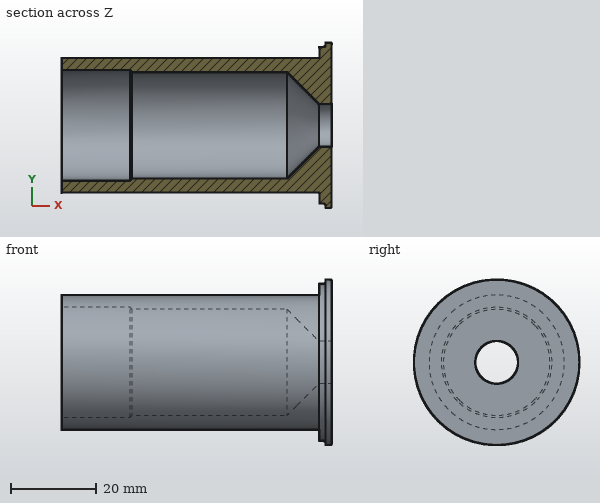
import cadquery as cq

total_length = 63.5
tube_diameter = 31.75
collar_diameter = 37.0
collar_width = 1.5
flange_diameter = 39.0
flange_width = 1.5

small_edge_radius = 0.2
end_edge_radius = 0.4
root_radius = 0.4

bore_diameter = 26.0
bore_depth = 16.0
seat_diameter = 25.0
outlet_diameter = 10.0

match_tolerance = 1e-4

flange_start = total_length - flange_width
collar_start = flange_start - collar_width
bore_taper_end = bore_depth + (bore_diameter - seat_diameter) / 2
funnel_end = collar_start
funnel_start = funnel_end - (seat_diameter - outlet_diameter) / 2


def revolve_profile(profile):
    """Solid of revolution about the X axis from a closed half profile."""
    return profile.close().revolve(360, (0, 0, 0), (1, 0, 0))


def circular_edges(body, station, diameter):
    """Circular edges of the given diameter at the given place along the axis."""
    return [
        edge for edge in body.edges("%CIRCLE").vals()
        if abs(edge.Center().x - station) < match_tolerance
        and abs(edge.radius() - diameter / 2) < match_tolerance
    ]


def outer_body():
    """Tube with a collar and a larger flange at its far end."""
    profile = (
        cq.Workplane("XY")
        .moveTo(0, 0)
        .lineTo(0, tube_diameter / 2)
        .lineTo(collar_start, tube_diameter / 2)
        .lineTo(collar_start, collar_diameter / 2)
        .lineTo(flange_start, collar_diameter / 2)
        .lineTo(flange_start, flange_diameter / 2)
        .lineTo(total_length, flange_diameter / 2)
        .lineTo(total_length, 0)
    )
    return revolve_profile(profile)


def round_rim(body):
    """Round the outer rim edges and the root between collar and flange."""
    rounds = [
        (collar_start, collar_diameter, small_edge_radius),
        (flange_start, collar_diameter, root_radius),
        (flange_start, flange_diameter, small_edge_radius),
        (total_length, flange_diameter, end_edge_radius),
    ]
    for station, diameter, radius in rounds:
        body = body.newObject(circular_edges(body, station, diameter)).fillet(radius)
    return body


def inner_passage():
    """Entry bore, slightly narrower seat, conical funnel and outlet hole."""
    profile = (
        cq.Workplane("XY")
        .moveTo(0, 0)
        .lineTo(0, bore_diameter / 2)
        .lineTo(bore_depth, bore_diameter / 2)
        .lineTo(bore_taper_end, seat_diameter / 2)
        .lineTo(funnel_start, seat_diameter / 2)
        .lineTo(funnel_end, outlet_diameter / 2)
        .lineTo(total_length, outlet_diameter / 2)
        .lineTo(total_length, 0)
    )
    return revolve_profile(profile)


result = round_rim(outer_body()).cut(inner_passage())